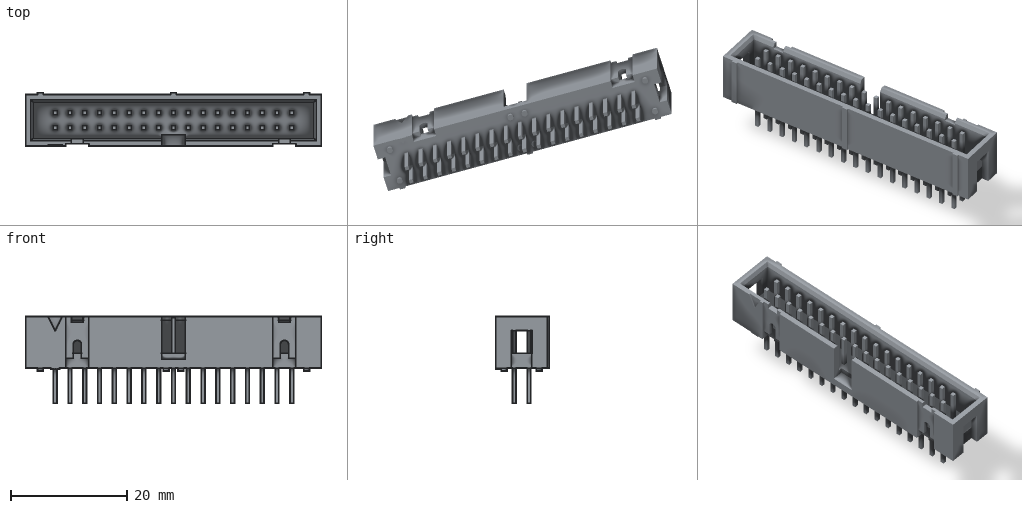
import cadquery as cq


LENGTH = 50.8
WIDTH = 8.9
HEIGHT = 8.9
WALL = 1.3
FLOOR_TOP = 2.6
RIM_BEVEL_WIDTH = 0.4
RIM_BEVEL_DEPTH = 0.65
FRONT = -WIDTH / 2
BACK = WIDTH / 2

PITCH = 2.55
COLUMNS = 17
ROWS = 2
PIN_SIDE = 0.65
PIN_BOTTOM = -6.05
PIN_TOP = 8.65
FIRST_COLUMN_X = -PITCH * (COLUMNS - 1) / 2

OUTER_X = PITCH * (COLUMNS + 1) / 2

KEY_WIDTH = 4.1
KEY_DEPTH = 2.0
KEY_BOTTOM = 1.5

LATCH_XS = (-6.5 * PITCH, 7.5 * PITCH)
LATCH_WIDTH = 3.95
LATCH_RECESS = 0.4
LATCH_STEP_TOP = 1.7
ARCH_WIDTH = 1.4
ARCH_TOP = 4.8
RIM_NOTCH_WIDTH = 2.05
RIM_NOTCH_DEPTH = 0.95

END_SLOT_WIDTH = 3.5
END_SLOT_TOP = 6.45

RIB_XS = (-OUTER_X, 0.0, OUTER_X)
RIB_WIDTH = 1.0
RIB_HEIGHT = 0.3

PEG_XS = (-OUTER_X, -PITCH / 2, PITCH / 2, OUTER_X)
PEG_Y = 3.0
PEG_DIAMETER = 1.0
PEG_HEIGHT = 0.5

MARK_WIDTH = 2.45
MARK_HEIGHT = 2.5
MARK_DEPTH = 0.25
UNDER_MARK_WIDTH = 1.5
UNDER_MARK_LENGTH = 1.05
UNDER_MARK_HEIGHT = 0.15


def block(x_range, y_range, z_range):
    """Box spanning the given (low, high) range on each axis."""
    lows, highs = zip(x_range, y_range, z_range)
    sizes = [high - low for low, high in zip(lows, highs)]
    return cq.Workplane("XY").box(*sizes, centered=False).translate(lows)


def span(center, width):
    """The (low, high) range of the given width about a center."""
    return (center - width / 2, center + width / 2)


def shell():
    """Open-topped box with a bevelled inner rim."""
    body = block(span(0, LENGTH), span(0, WIDTH), (0, HEIGHT))
    inner_length = LENGTH - 2 * WALL
    inner_width = WIDTH - 2 * WALL
    cavity = block(span(0, inner_length), span(0, inner_width), (FLOOR_TOP, HEIGHT))
    rim = (
        cq.Workplane("XY")
        .workplane(offset=HEIGHT - RIM_BEVEL_DEPTH)
        .rect(inner_length, inner_width)
        .workplane(offset=RIM_BEVEL_DEPTH)
        .rect(inner_length + 2 * RIM_BEVEL_WIDTH, inner_width + 2 * RIM_BEVEL_WIDTH)
        .loft(ruled=True)
    )
    return body.cut(cavity).cut(rim)


def key_slot():
    return block(span(0, KEY_WIDTH), (FRONT, FRONT + KEY_DEPTH), (KEY_BOTTOM, HEIGHT))


def latch_cut(x):
    """Face recess, rim notch, and an arched window above a deeper bottom step."""
    wall_y = (FRONT, FRONT + WALL)
    recess = block(span(x, LATCH_WIDTH), (FRONT, FRONT + LATCH_RECESS), (0, HEIGHT))
    notch = block(span(x, RIM_NOTCH_WIDTH), wall_y, (HEIGHT - RIM_NOTCH_DEPTH, HEIGHT))
    step = block(span(x, LATCH_WIDTH), wall_y, (0, LATCH_STEP_TOP))
    arch_radius = ARCH_WIDTH / 2
    arch_center_z = ARCH_TOP - arch_radius
    window = block(span(x, ARCH_WIDTH), wall_y, (0, arch_center_z))
    crown = (
        cq.Workplane("XZ", origin=(x, FRONT, arch_center_z))
        .circle(arch_radius)
        .extrude(-WALL)
    )
    return recess.union(notch).union(step).union(window).union(crown)


def end_slot(side):
    """Slot through an end wall, open at the bottom; side is -1 or +1."""
    outer = side * LENGTH / 2
    inner = side * (LENGTH / 2 - WALL)
    x_range = (min(outer, inner), max(outer, inner))
    return block(x_range, span(0, END_SLOT_WIDTH), (0, END_SLOT_TOP))


def face_mark():
    """Triangle engraved in the front face, pointing down at pin one."""
    half = MARK_WIDTH / 2
    return (
        cq.Workplane("XZ", origin=(FIRST_COLUMN_X, FRONT, HEIGHT))
        .polyline([(-half, 0), (half, 0), (0, -MARK_HEIGHT)])
        .close()
        .extrude(-MARK_DEPTH)
    )


def under_mark():
    """Raised triangle on the underside, pointing from the front edge to pin one."""
    half = UNDER_MARK_WIDTH / 2
    return (
        cq.Workplane("XY", origin=(FIRST_COLUMN_X, FRONT, 0))
        .polyline([(-half, 0), (half, 0), (0, UNDER_MARK_LENGTH)])
        .close()
        .extrude(-UNDER_MARK_HEIGHT)
    )


def pegs():
    places = [(x, y) for x in PEG_XS for y in (-PEG_Y, PEG_Y)]
    return cq.Workplane("XY").pushPoints(places).circle(PEG_DIAMETER / 2).extrude(-PEG_HEIGHT)


def pins():
    return (
        cq.Workplane("XY")
        .workplane(offset=PIN_BOTTOM)
        .rarray(PITCH, PITCH, COLUMNS, ROWS)
        .rect(PIN_SIDE, PIN_SIDE)
        .extrude(PIN_TOP - PIN_BOTTOM)
    )


housing = shell().cut(key_slot()).cut(face_mark())
for latch_x in LATCH_XS:
    housing = housing.cut(latch_cut(latch_x))
for end in (-1, 1):
    housing = housing.cut(end_slot(end))
for rib_x in RIB_XS:
    housing = housing.union(block(span(rib_x, RIB_WIDTH), (BACK, BACK + RIB_HEIGHT), (0, HEIGHT)))

result = housing.union(under_mark()).union(pegs()).union(pins())